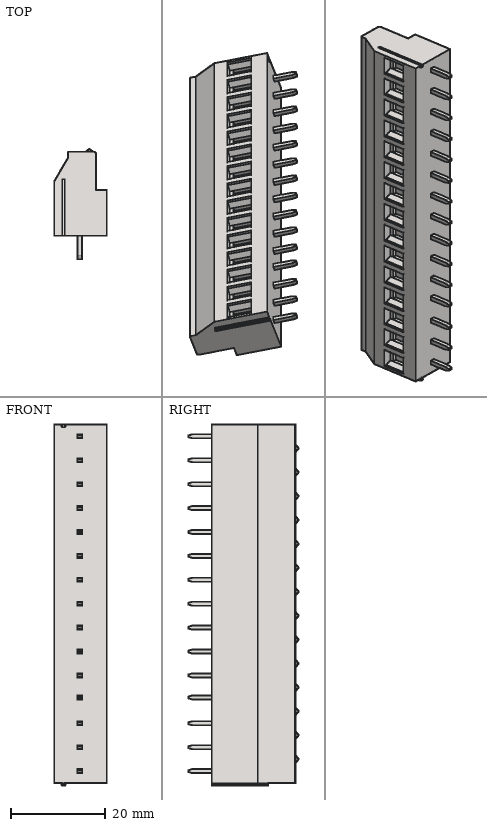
import cadquery as cq

POLES = 15
PITCH = 5.08
LENGTH = POLES * PITCH
WIDTH = 11.2
DEPTH = 17.9
TOWER_LEFT = 2.9
TOWER_RIGHT = 8.9
SHOULDER_Y = 9.8
SLOPE_START_Y = 11.6
SLOPE_END_Y = 16.55
RIGHT_CHAMFER = 0.3
LEFT_CHAMFER = 0.15

ENTRY_Y_MIN = 3.5
ENTRY_WIDTH = 5.3
ENTRY_HEIGHT = 3.9
ENTRY_MOUTH_DEPTH = 0.6
ENTRY_RAMP_END = 2.0
ENTRY_DEPTH = 2.9
INNER_WIDTH = 4.55
INNER_HEIGHT = 2.8

PIN_X = 5.45
PIN_WIDTH = 1.0
PIN_HEIGHT = 0.9
PIN_LENGTH = 5.0
PIN_TIP_LENGTH = 0.85
PIN_TIP_HEIGHT = 0.4
PIN_ROOT = 0.5
OFFSET_PIN = 3
PIN_OFFSET = 0.4

CONE_X = 7.5
CONE_RADIUS = 0.75
CONE_HEIGHT = 0.6

RAIL_X = 2.0
RAIL_LENGTH = 12.0
RAIL_HEIGHT = 0.6
RAIL_NECK = 0.45
RAIL_HEAD = 0.95
RAIL_HEAD_DROP = 0.42


def pole_z(index):
    """Height of a pole centre, counted from the bottom end."""
    return (index + 0.5) * PITCH


def make_housing():
    section = [
        (0, 0),
        (WIDTH, 0),
        (WIDTH, SHOULDER_Y),
        (TOWER_RIGHT, SHOULDER_Y),
        (TOWER_RIGHT, DEPTH - RIGHT_CHAMFER),
        (TOWER_RIGHT - RIGHT_CHAMFER, DEPTH),
        (TOWER_LEFT + LEFT_CHAMFER, DEPTH),
        (TOWER_LEFT, DEPTH - LEFT_CHAMFER),
        (TOWER_LEFT, SLOPE_END_Y),
        (0, SLOPE_START_Y),
    ]
    return cq.Workplane("XY").polyline(section).close().extrude(LENGTH)


def make_wire_entry(z):
    """Straight mouth and ramped throat of full width, then a pocket smaller in height and width."""
    half_mouth = ENTRY_HEIGHT / 2
    half_inner = INNER_HEIGHT / 2
    side = [
        (0, -half_mouth),
        (ENTRY_MOUTH_DEPTH, -half_mouth),
        (ENTRY_RAMP_END, -half_inner),
        (ENTRY_RAMP_END, half_inner),
        (ENTRY_MOUTH_DEPTH, half_mouth),
        (0, half_mouth),
    ]
    throat = (
        cq.Workplane("XZ", origin=(0, ENTRY_Y_MIN, z))
        .polyline(side)
        .close()
        .extrude(-ENTRY_WIDTH)
    )
    inner = (
        cq.Workplane("XY", origin=(0, ENTRY_Y_MIN, z))
        .box(ENTRY_DEPTH, INNER_WIDTH, INNER_HEIGHT, centered=(False, False, True))
    )
    return throat.union(inner)


def make_pin(z):
    """Rectangular pin whose tip narrows to a wedge in the Z direction."""
    half = PIN_HEIGHT / 2
    tip_half = PIN_TIP_HEIGHT / 2
    taper_y = PIN_TIP_LENGTH - PIN_LENGTH
    side = [
        (PIN_ROOT, -half),
        (PIN_ROOT, half),
        (taper_y, half),
        (-PIN_LENGTH, tip_half),
        (-PIN_LENGTH, -tip_half),
        (taper_y, -half),
    ]
    return (
        cq.Workplane("YZ", origin=(PIN_X - PIN_WIDTH / 2, 0, z))
        .polyline(side)
        .close()
        .extrude(PIN_WIDTH)
    )


def make_cone(z):
    direction = cq.Vector(0, 1, 0)
    base = cq.Vector(CONE_X, DEPTH, z)
    return cq.Workplane(cq.Solid.makeCone(CONE_RADIUS, 0, CONE_HEIGHT, base, direction))


def make_rail(z):
    """Arrow-shaped rail hanging below height z, running back from the -Y face."""
    half_neck = RAIL_NECK / 2
    half_head = RAIL_HEAD / 2
    section = [
        (-half_neck, 0),
        (-half_neck, -RAIL_HEAD_DROP),
        (-half_head, -RAIL_HEAD_DROP),
        (-half_neck, -RAIL_HEIGHT),
        (half_neck, -RAIL_HEIGHT),
        (half_head, -RAIL_HEAD_DROP),
        (half_neck, -RAIL_HEAD_DROP),
        (half_neck, 0),
    ]
    return (
        cq.Workplane("XZ", origin=(RAIL_X, 0, z))
        .polyline(section)
        .close()
        .extrude(-RAIL_LENGTH)
    )


result = make_housing()
for pole in range(POLES):
    result = result.cut(make_wire_entry(pole_z(pole)))
result = result.cut(make_rail(LENGTH)).union(make_rail(0))
for pole in range(POLES):
    shift = PIN_OFFSET if pole == OFFSET_PIN else 0
    result = result.union(make_pin(pole_z(pole) + shift))
for boundary in range(1, POLES):
    result = result.union(make_cone(boundary * PITCH))